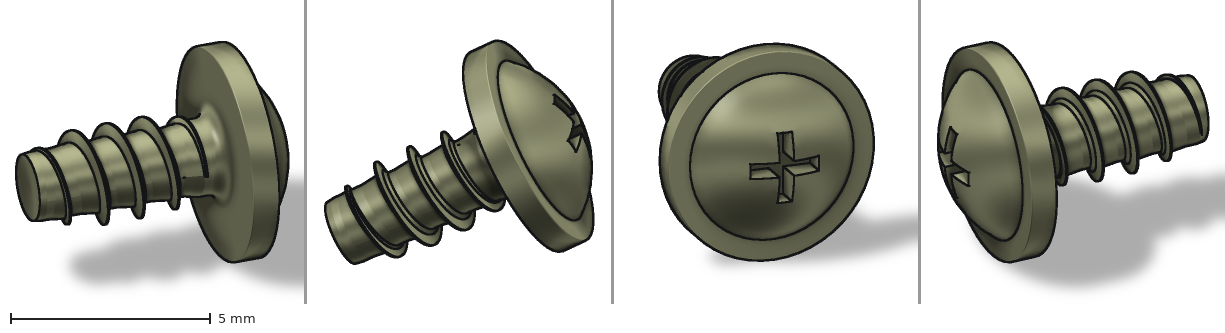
import cadquery as cq
import math


flange_diameter = 5.5
flange_thickness = 0.7
flange_edge_radius = 0.035
dome_base_radius = 2.19
dome_height = 1.08
recess_span = 1.84
recess_wing_width = 0.39
recess_depth = 0.8

shank_length = 5.0
neck_radius = 0.98
neck_end = 0.62
head_fillet_radius = 0.39
core_radius = 0.88
core_start = 1.15
tip_radius = 0.85
tip_taper_length = 0.2
dimple_radius = 0.79
dimple_depth = 0.05

pitch = 0.95
first_crest_height = 0.486
crest_radius = 1.25
crest_width = 0.04
head_knee_offset = 0.085
head_knee_radius = 0.99
head_foot_offset = 0.235
head_foot_radius = 0.82
point_foot_offset = 0.115
ramp_top_radius = 0.936
ramp_end_offset = 0.64
faded_ramp_offset = 0.09
ramp_end_radius = 0.872
thread_base_radius = 0.845
thread_inner_radius = 0.8

thread_start = 0.0
lead_in_end = 0.25
tooth_full = 1.25
tooth_fade = 3.25
ramp_fade = 3.75
ramp_end = 4.5
thread_end = 4.66
start_tooth_size = 0.5
start_shift = 0.11
longest_segment = 0.5
points_per_segment = 12


def tooth_size(turn):
    """Relative size of the tooth section: small at both ends, 1 in between."""
    if turn < tooth_full:
        grown = (turn - thread_start) / (tooth_full - thread_start)
        return start_tooth_size + (1 - start_tooth_size) * grown
    return min(1.0, (thread_end - turn) / (thread_end - tooth_fade))


def ramp_size(turn):
    """Relative height of the sloped root, which dies away near the point."""
    return min(1.0, max(0.0, (ramp_end - turn) / (ramp_end - ramp_fade)))


def thread_section(turn):
    """Corners (axial offset, radius) of the tooth and the root ramp behind it."""
    size = tooth_size(turn)
    half_crest = crest_width / 2
    crest = thread_base_radius + size * (crest_radius - thread_base_radius)
    knee = thread_base_radius + size * (head_knee_radius - thread_base_radius)
    slope = ramp_size(turn)
    ramp_top = thread_base_radius + slope * (ramp_top_radius - thread_base_radius)
    ramp_foot = thread_base_radius + slope * (ramp_end_radius - thread_base_radius)
    ramp_offset = faded_ramp_offset + slope * (ramp_end_offset - faded_ramp_offset)
    return [
        (-half_crest, crest),
        (half_crest, crest),
        (half_crest + size * (point_foot_offset - half_crest), ramp_top),
        (ramp_offset, ramp_foot),
        (ramp_offset, thread_inner_radius),
        (-half_crest - size * (head_foot_offset - half_crest), thread_inner_radius),
        (-half_crest - size * (head_foot_offset - half_crest), head_foot_radius),
        (-half_crest - size * (head_knee_offset - half_crest), knee),
    ]


def helix_point(turn, offset, radius):
    """Point on the right-hand helix, which climbs less over the short lead-in."""
    angle = 2 * math.pi * turn
    shift = start_shift * max(0.0, 1 - turn / lead_in_end)
    height = first_crest_height + pitch * turn + shift + offset
    return cq.Vector(radius * math.cos(angle), radius * math.sin(angle), height)


def thread_segment(start, end):
    """Stretch of right-hand thread, ruled between its corner helices and capped flat."""
    step = (end - start) / points_per_segment
    turns = [start + i * step for i in range(points_per_segment + 1)]
    outlines = [[helix_point(turn, *corner) for corner in thread_section(turn)] for turn in turns]
    edges = [cq.Edge.makeSpline(list(points)) for points in zip(*outlines)]
    faces = [
        cq.Face.makeRuledSurface(edge, next_edge)
        for edge, next_edge in zip(edges, edges[1:] + edges[:1])
    ]
    for outline in (outlines[0], outlines[-1]):
        faces.append(cq.Face.makeFromWires(cq.Wire.makePolygon(outline, close=True)))
    return cq.Solid.makeSolid(cq.Shell.makeShell(faces)).fix()


def make_thread():
    """Short segments that join end to end, broken wherever the section changes its trend."""
    stops = [thread_start, lead_in_end, tooth_full, tooth_fade, ramp_fade, ramp_end, thread_end]
    segments = []
    for start, end in zip(stops, stops[1:]):
        count = math.ceil((end - start) / longest_segment)
        length = (end - start) / count
        for i in range(count):
            segments.append(thread_segment(start + i * length, start + (i + 1) * length))
    return segments


def make_shank():
    """Core with the fillet under the head, the tapered point and its end dimple."""
    fillet_mid = head_fillet_radius * (1 - math.sqrt(0.5))
    return (
        cq.Workplane("XZ")
        .moveTo(0, 0)
        .lineTo(neck_radius + head_fillet_radius, 0)
        .threePointArc((neck_radius + fillet_mid, fillet_mid), (neck_radius, head_fillet_radius))
        .lineTo(neck_radius, neck_end)
        .lineTo(core_radius, core_start)
        .lineTo(core_radius, shank_length - tip_taper_length)
        .lineTo(tip_radius, shank_length)
        .lineTo(dimple_radius, shank_length)
        .lineTo(0, shank_length - dimple_depth)
        .close()
        .revolve(360, (0, 0, 0), (0, 1, 0))
    )


def make_head():
    flange = (
        cq.Workplane("XY")
        .circle(flange_diameter / 2)
        .extrude(-flange_thickness)
        .edges()
        .fillet(flange_edge_radius)
    )
    dome_radius = (dome_base_radius**2 + dome_height**2) / (2 * dome_height)
    half_angle = math.asin(dome_base_radius / dome_radius) / 2
    dome_top = -flange_thickness - dome_height
    arc_middle = (
        dome_radius * math.sin(half_angle),
        dome_top + dome_radius * (1 - math.cos(half_angle)),
    )
    dome = (
        cq.Workplane("XZ")
        .moveTo(0, -flange_thickness)
        .lineTo(dome_base_radius, -flange_thickness)
        .threePointArc(arc_middle, (0, dome_top))
        .close()
        .revolve(360, (0, 0, 0), (0, 1, 0))
    )
    recess = (
        cq.Workplane("XY", origin=(0, 0, dome_top))
        .rect(recess_span, recess_wing_width)
        .extrude(recess_depth)
        .union(
            cq.Workplane("XY", origin=(0, 0, dome_top))
            .rect(recess_wing_width, recess_span)
            .extrude(recess_depth)
        )
    )
    return flange.union(dome).cut(recess)


blank = make_shank().union(make_head()).val()
screw = cq.Workplane(obj=blank.fuse(*make_thread()).Solids()[0])
result = screw.rotate((0, 0, 0), (1, 0, 0), 90)